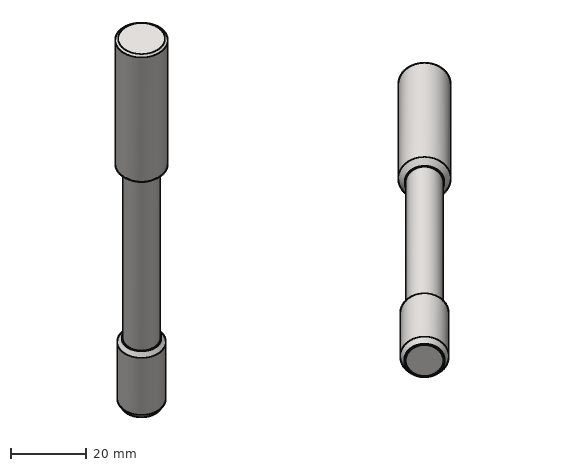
import cadquery as cq

total_length = 130.0
head_length = 46.4
collar_length = 23.4

head_diameter = 14.0
shaft_diameter = 10.0
collar_diameter = 13.0

head_top_chamfer_height = 0.5
head_top_chamfer_depth = 0.8
head_bottom_chamfer = 1.7
collar_top_chamfer_height = 1.3
collar_top_chamfer_depth = 1.2
collar_bottom_chamfer_height = 1.8
collar_bottom_chamfer_depth = 1.0

head_bottom = total_length - head_length


def make_pin():
    """Head and shaft turned as one piece; the shaft runs down through the collar."""
    shaft_radius = shaft_diameter / 2
    head_radius = head_diameter / 2
    return (
        cq.Workplane("XZ")
        .moveTo(0, 0)
        .lineTo(shaft_radius, 0)
        .lineTo(shaft_radius, head_bottom)
        .lineTo(head_radius - head_bottom_chamfer, head_bottom)
        .lineTo(head_radius, head_bottom + head_bottom_chamfer)
        .lineTo(head_radius, total_length - head_top_chamfer_height)
        .lineTo(head_radius - head_top_chamfer_depth, total_length)
        .lineTo(0, total_length)
        .close()
        .revolve(360, (0, 0, 0), (0, 1, 0))
    )


def make_collar():
    """Sleeve around the lower end of the shaft, flush with the shaft's end face."""
    bore_radius = shaft_diameter / 2
    collar_radius = collar_diameter / 2
    return (
        cq.Workplane("XZ")
        .moveTo(bore_radius, 0)
        .lineTo(collar_radius - collar_bottom_chamfer_depth, 0)
        .lineTo(collar_radius, collar_bottom_chamfer_height)
        .lineTo(collar_radius, collar_length - collar_top_chamfer_height)
        .lineTo(collar_radius - collar_top_chamfer_depth, collar_length)
        .lineTo(bore_radius, collar_length)
        .close()
        .revolve(360, (0, 0, 0), (0, 1, 0))
    )


pin = make_pin()
collar = make_collar()

result = cq.Compound.makeCompound([pin.val(), collar.val()])